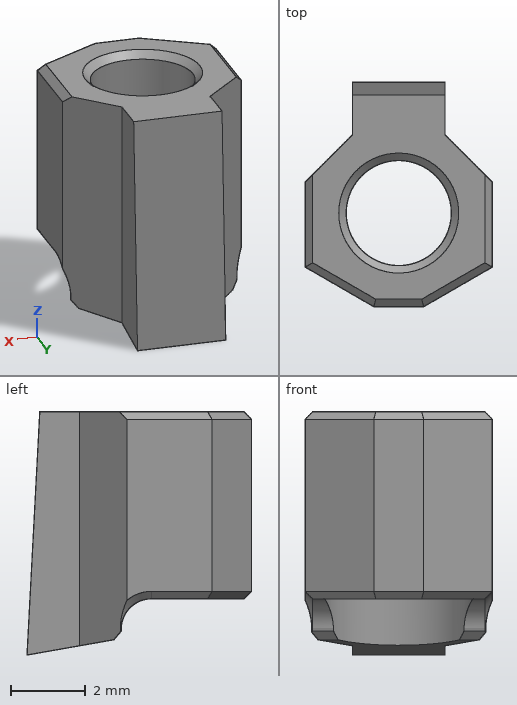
import cadquery as cq
import math

body_width = 5.0
front_reach = 2.5
back_reach = 3.5
full_height = 6.5
body_height = 5.0
front_slant_angle = 30.0
front_flat_width = 1.33
tab_width = 2.47
tab_start = 2.09
back_draft = 3.0
foot_slope = 10.0
leg_front = 0.975
notch_radius = 0.8
edge_chamfer = 0.2
bore_diameter = 2.8
lower_bore_diameter = 4.0
bore_length = 1.87

half_width = body_width / 2
half_front = front_flat_width / 2
half_tab = tab_width / 2
slant_run = half_width - half_front
slant_start = -front_reach + slant_run * math.tan(math.radians(front_slant_angle))
shoulder_end = tab_start - (half_width - half_tab)
top_back = back_reach - full_height * math.tan(math.radians(back_draft))
leg_front_z = -full_height + (back_reach - leg_front) * math.tan(math.radians(foot_slope))


def side_profile():
    """Solid from the YZ outline: leaning back, sloped foot and rounded notch."""
    diagonal = notch_radius * math.sqrt(0.5)
    arc_center_y = leg_front - notch_radius
    arc_center_z = -body_height - notch_radius
    return (
        cq.Workplane("YZ")
        .moveTo(-front_reach, 0)
        .lineTo(top_back, 0)
        .lineTo(back_reach, -full_height)
        .lineTo(leg_front, leg_front_z)
        .lineTo(leg_front, arc_center_z)
        .threePointArc(
            (arc_center_y + diagonal, arc_center_z + diagonal),
            (arc_center_y, -body_height),
        )
        .lineTo(-front_reach, -body_height)
        .close()
        .extrude(half_width, both=True)
    )


def vertical_prism(points):
    return cq.Workplane("XY").polyline(points).close().extrude(-full_height)


def front_outline():
    """Slanted front corners; the sides run straight to the back."""
    return vertical_prism([
        (-half_width, back_reach),
        (-half_width, slant_start),
        (-half_front, -front_reach),
        (half_front, -front_reach),
        (half_width, slant_start),
        (half_width, back_reach),
    ])


def shoulder_outline():
    """Narrow tab at the back, widening through 45 degree shoulders."""
    return vertical_prism([
        (-half_tab, back_reach),
        (-half_tab, tab_start),
        (-half_width, shoulder_end),
        (-half_width, -front_reach),
        (half_width, -front_reach),
        (half_width, shoulder_end),
        (half_tab, tab_start),
        (half_tab, back_reach),
    ])


def is_chamfered(edge):
    """True for the outer rim of the top, underside, notch and leg toe."""
    tolerance = 0.0005
    center = edge.Center()
    box = edge.BoundingBox()
    front_corner = box.zlen > tolerance and box.ymax < 0
    back_corner = box.zlen > body_height
    foot_edge = center.z < leg_front_z - tolerance
    full_width = box.xlen > body_width - tolerance
    above_toe = center.z > leg_front_z + tolerance
    notch_seam_or_top_back = full_width and above_toe
    return not (front_corner or back_corner or foot_edge or notch_seam_or_top_back)


blank = side_profile().intersect(front_outline())
rim = [edge for edge in blank.edges().vals() if is_chamfered(edge)]
body = blank.newObject(rim).chamfer(edge_chamfer).intersect(shoulder_outline())

bore = cq.Workplane("XY").circle(bore_diameter / 2).extrude(-full_height)
lower_bore = (
    cq.Workplane("XY", origin=(0, 0, -bore_length))
    .circle(lower_bore_diameter / 2)
    .extrude(-full_height)
)
mouth_cone = cq.Workplane(cq.Solid.makeCone(
    bore_diameter / 2 + edge_chamfer, bore_diameter / 2, edge_chamfer,
    cq.Vector(0, 0, 0), cq.Vector(0, 0, -1),
))

result = body.cut(bore).cut(lower_bore).cut(mouth_cone)